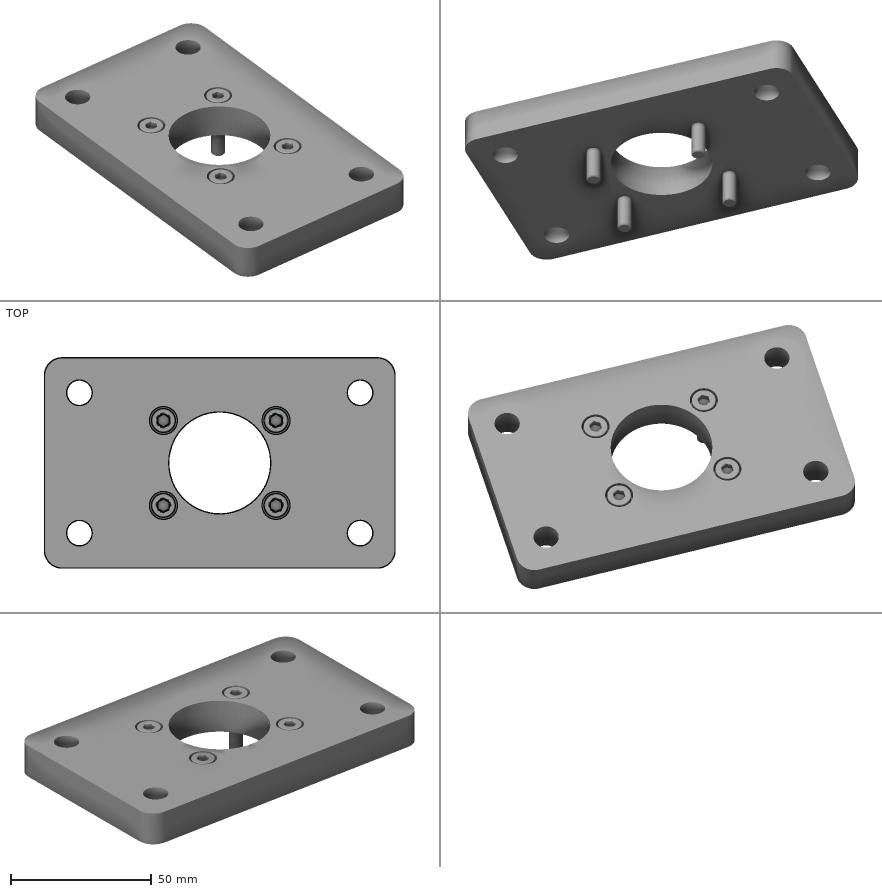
import cadquery as cq
import math

PLATE_LENGTH = 125.0
PLATE_WIDTH = 75.0
PLATE_THICKNESS = 12.5
CORNER_RADIUS = 6.4
BORE_DIAMETER = 36.2

MOUNT_HOLE_DIAMETER = 9.0
MOUNT_EDGE_DISTANCE = 12.5
MOUNT_PITCH_X = PLATE_LENGTH - 2 * MOUNT_EDGE_DISTANCE
MOUNT_PITCH_Y = PLATE_WIDTH - 2 * MOUNT_EDGE_DISTANCE

SCREW_PITCH_X = 40.1
SCREW_PITCH_Y = 30.2
SHANK_DIAMETER = 5.0
SHANK_LENGTH = 20.0
SHANK_TIP_CHAMFER = 0.4
HEAD_DIAMETER = 8.5
HEAD_HEIGHT = SHANK_DIAMETER
HEAD_EDGE_FILLET = 0.2
SOCKET_ACROSS_FLATS = 4.0
SOCKET_ACROSS_CORNERS = SOCKET_ACROSS_FLATS / math.cos(math.pi / 6)
SOCKET_DEPTH = HEAD_HEIGHT / 2
SOCKET_LEAD_IN_ANGLE = 30.0

SCREW_HOLE_DIAMETER = 5.2
COUNTERBORE_DIAMETER = 10.0
COUNTERBORE_DEPTH = HEAD_HEIGHT


def corner_points(pitch_x, pitch_y):
    """Four points at the corners of a centred rectangle."""
    return [(sx * pitch_x / 2, sy * pitch_y / 2) for sx in (-1, 1) for sy in (-1, 1)]


SCREW_POINTS = corner_points(SCREW_PITCH_X, SCREW_PITCH_Y)


def make_plate():
    """Rounded plate with a central bore, mounting holes and counterbored screw holes."""
    plate = (
        cq.Workplane("XY")
        .box(PLATE_LENGTH, PLATE_WIDTH, PLATE_THICKNESS, centered=(True, True, False))
        .edges("|Z")
        .fillet(CORNER_RADIUS)
    )
    top = plate.faces(">Z").workplane(origin=(0, 0, PLATE_THICKNESS))
    plate = top.hole(BORE_DIAMETER)
    top = plate.faces(">Z").workplane(origin=(0, 0, PLATE_THICKNESS))
    plate = top.pushPoints(corner_points(MOUNT_PITCH_X, MOUNT_PITCH_Y)).hole(MOUNT_HOLE_DIAMETER)
    top = plate.faces(">Z").workplane(origin=(0, 0, PLATE_THICKNESS))
    return top.pushPoints(SCREW_POINTS).cboreHole(
        SCREW_HOLE_DIAMETER, COUNTERBORE_DIAMETER, COUNTERBORE_DEPTH
    )


def make_socket_cutter():
    """Hexagonal recess below Z = 0 with corners along Y and a conical lead-in."""
    hexagon = (
        cq.Workplane("XY")
        .transformed(rotate=(0, 0, 90))
        .polygon(6, SOCKET_ACROSS_CORNERS)
        .extrude(-SOCKET_DEPTH)
    )
    cone_radius = SOCKET_ACROSS_CORNERS / 2
    cone_depth = cone_radius * math.tan(math.radians(SOCKET_LEAD_IN_ANGLE))
    lead_in = cq.Workplane(cq.Solid.makeCone(cone_radius, 0, cone_depth, dir=cq.Vector(0, 0, -1)))
    return hexagon.union(lead_in)


def make_screw():
    """Socket head screw on the Z axis with its head face at Z = 0."""
    head = (
        cq.Workplane("XY")
        .circle(HEAD_DIAMETER / 2)
        .extrude(-HEAD_HEIGHT)
        .faces(">Z")
        .edges()
        .fillet(HEAD_EDGE_FILLET)
    )
    shank = (
        cq.Workplane("XY", origin=(0, 0, -HEAD_HEIGHT))
        .circle(SHANK_DIAMETER / 2)
        .extrude(-SHANK_LENGTH)
        .faces("<Z")
        .edges()
        .chamfer(SHANK_TIP_CHAMFER)
    )
    return head.union(shank).cut(make_socket_cutter())


plate = make_plate()
screw = make_screw()
screws = [screw.translate((x, y, PLATE_THICKNESS)) for x, y in SCREW_POINTS]

result = cq.Compound.makeCompound([plate.val(), *[placed.val() for placed in screws]])